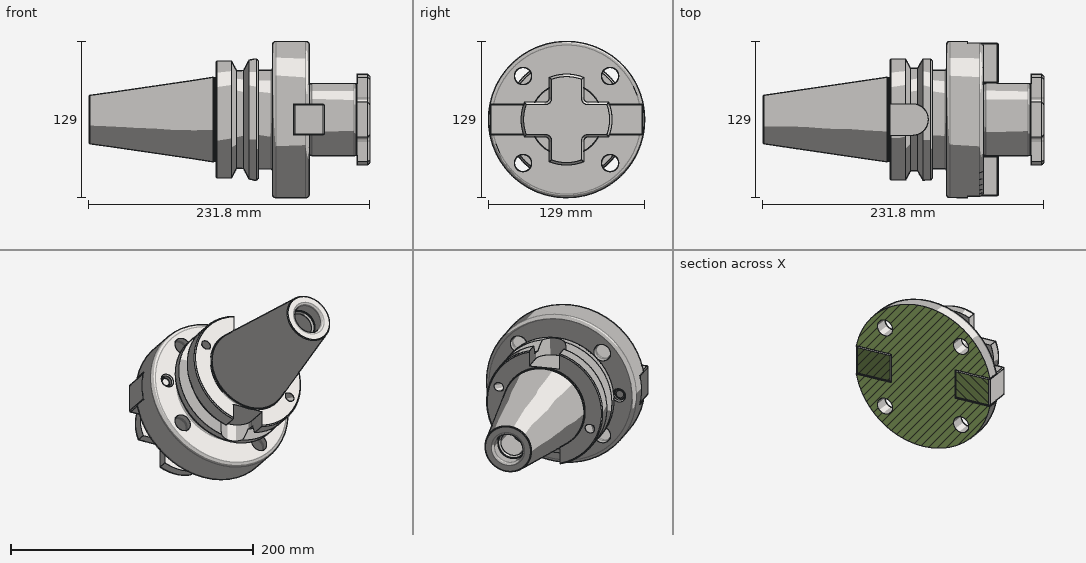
import cadquery as cq
import math

gauge_x = 102.2
grip_flange_x = 104.8
grip_flange_end_x = 139.8
flange_x = 151.1
flange_end_x = 181.7
spigot_end_x = 220.0
overall_length = 231.8

taper_ratio = 7 / 24
gauge_radius = 35.0
small_radius = gauge_radius - gauge_x * taper_ratio / 2
relief_radius = 34.5
grip_radius = 50.0
neck_radius = 40.8
flange_diameter = 129.0
flange_radius = flange_diameter / 2
spigot_radius = 30.0

groove_x = 117.5
groove_floor_x = 121.7
groove_floor_end_x = 127.5
groove_end_x = 132.0
groove_radius = 42.5

small_end_chamfer = 0.7
grip_front_chamfer = 1.6
grip_rear_chamfer = 1.0
relief_cone_length = 0.7
relief_fillet = 0.7
neck_fillet = 1.2
flange_fillet = 3.0
spigot_lead_length = 1.5
spigot_lead_depth = 0.2
undercut_length = 2.3
undercut_floor_length = 1.2
undercut_depth = 0.3

slot_half_width = 13.0
slot_end_x = 136.3
top_slot_floor_z = 35.2
bottom_slot_floor_z = 34.8
bottom_slot_half_width = 13.5

bore_radius = 12.3
bore_depth = 11.5
bore_fillet = 2.0
bore_step_radius = 11.8
bore_step_depth = 12.5
thread_radius = 10.5
thread_x = 14.4
thread_end_x = 46.4

coolant_radius = 3.7
coolant_pitch_radius = 41.7
coolant_angle = 20
coolant_tilt = 25
coolant_depth = 18.5

bolt_radius = 7.0
bolt_entry_radius = 7.2
bolt_entry_depth = 5.3
bolt_entry_cone = 1.5
bolt_pitch_radius = 50.8
bolt_count = 4

key_x = 168.8
key_end_x = 194.0
key_inner_y = 30.1
key_outer_y = 63.0
key_half_width = 12.7
key_chamfer = 1.0

key_screw_pitch_radius = 50.3
key_screw_radius = 4.6
key_screw_x = 154.1
key_screw_chamfer = 1.5
key_hole_chamfer = 1.2

head_x = 221.1
head_radius = 37.5
head_arm_half_width = 14.4
head_inner_fillet = 3.2
head_chamfer = 2.0


def x_cylinder(start_x, length, radius, y=0, z=0):
    return cq.Workplane("YZ", origin=(start_x, y, z)).circle(radius).extrude(length)


def x_cone(start_x, length, start_radius, end_radius, y=0, z=0):
    cone = cq.Solid.makeCone(start_radius, end_radius, length, cq.Vector(start_x, y, z), cq.Vector(1, 0, 0))
    return cq.Workplane(cone)


def turned_holder():
    undercut_radius = spigot_radius - undercut_depth
    outline = (
        cq.Workplane("XY")
        .moveTo(0, 0)
        .lineTo(0, small_radius - small_end_chamfer)
        .lineTo(small_end_chamfer, small_radius)
        .lineTo(gauge_x, gauge_radius)
        .lineTo(gauge_x + relief_cone_length, relief_radius)
        .lineTo(grip_flange_x - relief_fillet, relief_radius)
        .radiusArc((grip_flange_x, relief_radius + relief_fillet), -relief_fillet)
        .lineTo(grip_flange_x, grip_radius - grip_rear_chamfer)
        .lineTo(grip_flange_x + grip_rear_chamfer, grip_radius)
        .lineTo(groove_x, grip_radius)
        .lineTo(groove_floor_x, groove_radius)
        .lineTo(groove_floor_end_x, groove_radius)
        .lineTo(groove_end_x, grip_radius)
        .lineTo(grip_flange_end_x - grip_front_chamfer, grip_radius)
        .lineTo(grip_flange_end_x, grip_radius - grip_front_chamfer)
        .lineTo(grip_flange_end_x, neck_radius)
        .lineTo(flange_x - neck_fillet, neck_radius)
        .radiusArc((flange_x, neck_radius + neck_fillet), -neck_fillet)
        .lineTo(flange_x, flange_radius - flange_fillet)
        .radiusArc((flange_x + flange_fillet, flange_radius), flange_fillet)
        .lineTo(flange_end_x - flange_fillet, flange_radius)
        .radiusArc((flange_end_x, flange_radius - flange_fillet), flange_fillet)
        .lineTo(flange_end_x, undercut_radius)
        .lineTo(flange_end_x + undercut_floor_length, undercut_radius)
        .lineTo(flange_end_x + undercut_length, spigot_radius)
        .lineTo(spigot_end_x - spigot_lead_length, spigot_radius)
        .lineTo(spigot_end_x, spigot_radius - spigot_lead_depth)
        .lineTo(spigot_end_x, 0)
        .close()
    )
    return outline.revolve(360, (0, 0, 0), (1, 0, 0))


def drive_slot(half_width, floor_z):
    """Slot open at the rear and round at the front, cut upward from floor_z."""
    centre_x = slot_end_x - half_width
    return (
        cq.Workplane("XY", origin=(0, 0, floor_z))
        .moveTo(grip_flange_x, -half_width)
        .lineTo(centre_x, -half_width)
        .threePointArc((slot_end_x, 0), (centre_x, half_width))
        .lineTo(grip_flange_x, half_width)
        .close()
        .extrude(grip_radius)
    )


def drawbar_bore():
    """Blind stepped bore with a rounded mouth."""
    outline = (
        cq.Workplane("XY")
        .moveTo(0, 0)
        .lineTo(0, bore_radius + bore_fillet)
        .radiusArc((bore_fillet, bore_radius), -bore_fillet)
        .lineTo(bore_depth, bore_radius)
        .lineTo(bore_depth, bore_step_radius)
        .lineTo(bore_step_depth, bore_step_radius)
        .lineTo(thread_x, thread_radius)
        .lineTo(thread_end_x, thread_radius)
        .lineTo(thread_end_x, 0)
        .close()
    )
    return outline.revolve(360, (0, 0, 0), (1, 0, 0))


def coolant_hole():
    """Blind hole leaning toward the axis as it goes in."""
    tilt = math.radians(coolant_tilt)
    direction = cq.Vector(math.cos(tilt), -math.sin(tilt), 0)
    mouth = cq.Vector(grip_flange_x, coolant_pitch_radius, 0)
    start = mouth - direction * coolant_depth
    hole = cq.Workplane(cq.Solid.makeCylinder(coolant_radius, 2 * coolant_depth, start, direction))
    inside_flange = x_cylinder(grip_flange_x, grip_flange_end_x - grip_flange_x, grip_radius)
    return hole.intersect(inside_flange).rotate((0, 0, 0), (1, 0, 0), coolant_angle)


def bolt_hole(y, z):
    """Through hole, slightly wider at its rear entry."""
    cone_x = flange_x + bolt_entry_depth
    hole = x_cylinder(flange_x, flange_end_x - flange_x, bolt_radius, y, z)
    hole = hole.union(x_cylinder(flange_x, bolt_entry_depth, bolt_entry_radius, y, z))
    return hole.union(x_cone(cone_x, bolt_entry_cone, bolt_entry_radius, bolt_radius, y, z))


def key_block(side, outer_y):
    """Block between the key's inner end and outer_y, on the +Y or -Y side."""
    length = key_end_x - key_x
    span = outer_y - key_inner_y
    centre = (key_x + length / 2, side * (outer_y + key_inner_y) / 2, 0)
    return cq.Workplane("XY").box(length, span, 2 * key_half_width).translate(centre)


def key_screw_hole(side):
    y = side * key_screw_pitch_radius
    hole = x_cylinder(flange_x, key_x - flange_x, key_screw_radius, y)
    mouth_radius = key_screw_radius + key_hole_chamfer
    return hole.union(x_cone(flange_x, key_hole_chamfer, mouth_radius, key_screw_radius, y))


def make_holder():
    holder = turned_holder()
    holder = holder.cut(drive_slot(slot_half_width, top_slot_floor_z))
    bottom_slot = drive_slot(bottom_slot_half_width, bottom_slot_floor_z)
    holder = holder.cut(bottom_slot.rotate((0, 0, 0), (1, 0, 0), 180))
    holder = holder.cut(drawbar_bore())
    for turn in (0, 180):
        holder = holder.cut(coolant_hole().rotate((0, 0, 0), (1, 0, 0), turn))
    for index in range(bolt_count):
        angle = math.radians((index + 0.5) * 360 / bolt_count)
        y = bolt_pitch_radius * math.cos(angle)
        z = bolt_pitch_radius * math.sin(angle)
        holder = holder.cut(bolt_hole(y, z))
    for side in (-1, 1):
        holder = holder.cut(key_block(side, flange_radius)).cut(key_screw_hole(side))
    return holder


def make_key(side):
    return key_block(side, key_outer_y).edges().chamfer(key_chamfer)


def make_key_screw(side):
    screw = x_cylinder(key_screw_x, key_x - key_screw_x, key_screw_radius, side * key_screw_pitch_radius)
    return screw.faces("<X").chamfer(key_screw_chamfer)


def make_clamp_screw():
    """Head with four arms and a round collar that seats on the spigot."""
    arm = 2 * head_arm_half_width
    face = cq.Workplane("YZ", origin=(head_x, 0, 0))
    cross = face.rect(arm, 2 * head_radius).extrude(overall_length - head_x)
    cross = cross.union(face.rect(2 * head_radius, arm).extrude(overall_length - head_x))
    inner_edges = cq.selectors.BoxSelector((head_x, -arm, -arm), (overall_length, arm, arm))
    cross = cross.edges("|X").edges(inner_edges).fillet(head_inner_fillet)
    disc = x_cylinder(head_x, overall_length - head_x, head_radius)
    head = cross.intersect(disc).faces(">X").chamfer(head_chamfer)
    collar = x_cylinder(spigot_end_x, head_x - spigot_end_x, spigot_radius - spigot_lead_depth)
    return head.union(collar)


holder = make_holder()
keys = [make_key(side) for side in (-1, 1)]
key_screws = [make_key_screw(side) for side in (-1, 1)]
clamp_screw = make_clamp_screw()

bodies = [holder, *keys, *key_screws, clamp_screw]
result = cq.Compound.makeCompound([body.solids().val() for body in bodies])